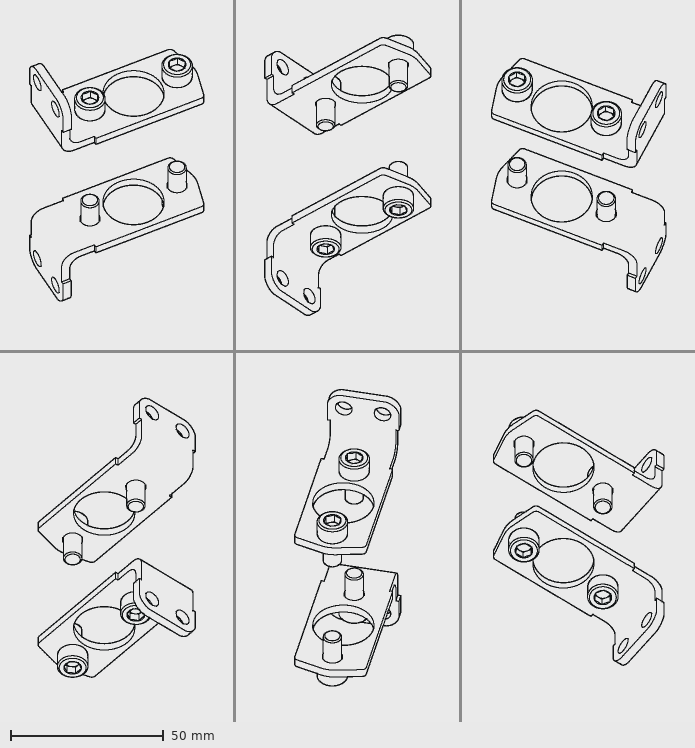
import cadquery as cq
import math


width = 24.0
neck_width = 22.0
thickness = 3.0
plate_z = 25.0
flange_y = -32.0
bend_inner_radius = 4.0
bend_outer_radius = 4.5
plate_neck_y = -20.0
flange_neck_z = 37.0
flange_end_z = 48.5

apex_y = 23.04
slope_angle = 14.5
apex_radius = 10.0
shoulder_radius = 1.5

bore_diameter = 20.0
screw_hole_diameter = 6.6
screw_ys = (-16.0, 16.0)
flange_hole_diameter = 5.5
flange_hole_spacing = 13.0
flange_hole_inset = 5.5
flange_hole_z = flange_end_z - flange_hole_inset

corner_cut = 4.25
corner_radius = math.hypot(
    width / 2 - flange_hole_spacing / 2,
    flange_end_z - corner_cut - flange_hole_z,
)

shank_diameter = 6.0
shank_length = 12.0
shank_chamfer = 0.5
head_diameter = 10.0
head_height = 6.0
head_chamfer = 0.6
head_base_chamfer = 0.2
socket_width = 5.0
socket_depth = 3.0
socket_corner_radius = socket_width / 2 / math.cos(math.pi / 6)
socket_cone_angle = 30.0
hexagon_turn = 30.0

plate_top_z = plate_z + thickness


def angled_profile():
    """Bent strip, as wide as the full bracket, with both bend faces rounded."""
    apex_drop = apex_radius * (1 / math.cos(math.radians(slope_angle)) - 1)
    plate_end_y = apex_y - apex_drop
    inner_y = flange_y + thickness
    return (
        cq.Workplane("YZ")
        .moveTo(plate_end_y, plate_z)
        .lineTo(flange_y + bend_outer_radius, plate_z)
        .radiusArc((flange_y, plate_z + bend_outer_radius), bend_outer_radius)
        .lineTo(flange_y, flange_end_z)
        .lineTo(inner_y, flange_end_z)
        .lineTo(inner_y, plate_top_z + bend_inner_radius)
        .radiusArc((inner_y + bend_inner_radius, plate_top_z), -bend_inner_radius)
        .lineTo(plate_end_y, plate_top_z)
        .close()
        .extrude(width / 2, both=True)
    )


def plate_outline():
    """Upright prism with the pointed, rounded end of the plate."""
    shoulder_y = apex_y - width / 2 * math.tan(math.radians(slope_angle))
    prism = (
        cq.Workplane("XY", origin=(0, 0, plate_z))
        .moveTo(-width / 2, flange_y)
        .lineTo(width / 2, flange_y)
        .lineTo(width / 2, shoulder_y)
        .lineTo(0, apex_y)
        .lineTo(-width / 2, shoulder_y)
        .close()
        .extrude(flange_end_z - plate_z)
    )
    prism = prism.edges("|Z and (not <Y) and (not >Y)").fillet(shoulder_radius)
    return prism.edges("|Z and >Y").fillet(apex_radius)


def flange_outline():
    """Prism along Y with the two rounded corners of the flange end."""
    half = width / 2
    return (
        cq.Workplane("XZ", origin=(0, apex_y, 0))
        .moveTo(-half, plate_z)
        .lineTo(half, plate_z)
        .lineTo(half, flange_end_z - corner_cut)
        .radiusArc((half - corner_cut, flange_end_z), -corner_radius)
        .lineTo(corner_cut - half, flange_end_z)
        .radiusArc((-half, flange_end_z - corner_cut), -corner_radius)
        .close()
        .extrude(apex_y - flange_y)
    )


def neck_notches():
    """Blocks that trim both sides of the bend down to the neck width."""
    depth = (width - neck_width) / 2
    return (
        cq.Workplane("XY", origin=(0, flange_y, plate_z))
        .pushPoints([(side * (width - depth) / 2, 0) for side in (-1, 1)])
        .box(depth, 2 * (plate_neck_y - flange_y), 2 * (flange_neck_z - plate_z))
    )


def make_bracket():
    """Bent bracket with its bore, two screw holes and two flange holes."""
    bracket = angled_profile().intersect(plate_outline()).intersect(flange_outline())
    bracket = bracket.cut(neck_notches())
    plate_holes = (
        cq.Workplane("XY", origin=(0, 0, plate_z))
        .circle(bore_diameter / 2)
        .extrude(thickness)
        .pushPoints([(0, y) for y in screw_ys])
        .circle(screw_hole_diameter / 2)
        .extrude(thickness)
    )
    flange_holes = (
        cq.Workplane("XZ", origin=(0, flange_y + thickness, flange_hole_z))
        .pushPoints([(side * flange_hole_spacing / 2, 0) for side in (-1, 1)])
        .circle(flange_hole_diameter / 2)
        .extrude(thickness)
    )
    return bracket.cut(plate_holes).cut(flange_holes)


def socket_cone(y, base_z, radius):
    """Cone on a screw axis, pointing down from its base."""
    height = radius * math.tan(math.radians(socket_cone_angle))
    down = cq.Vector(0, 0, -1)
    return cq.Workplane(cq.Solid.makeCone(radius, 0, height, cq.Vector(0, y, base_z), down))


def make_screw(y):
    """Cap screw with its head resting on the plate and its tip towards Z = 0."""
    head = (
        cq.Workplane("XY", origin=(0, y, plate_top_z))
        .circle(head_diameter / 2)
        .extrude(head_height)
        .faces(">Z").edges()
        .chamfer(head_chamfer)
        .faces("<Z").edges()
        .chamfer(head_base_chamfer)
    )
    shank = (
        cq.Workplane("XY", origin=(0, y, plate_top_z))
        .circle(shank_diameter / 2)
        .extrude(-shank_length)
        .faces("<Z").edges()
        .chamfer(shank_chamfer)
    )
    socket_floor_z = plate_top_z + head_height - socket_depth
    socket = (
        cq.Workplane("XY", origin=(0, y, socket_floor_z))
        .transformed(rotate=(0, 0, hexagon_turn))
        .polygon(6, 2 * socket_corner_radius)
        .extrude(socket_depth)
    )
    mouth = socket_cone(y, plate_top_z + head_height, socket_corner_radius)
    floor = socket_cone(y, socket_floor_z, socket_width / 2)
    return head.union(shank).cut(socket).cut(floor).cut(mouth)


upper_bodies = [make_bracket()] + [make_screw(y) for y in screw_ys]
lower_bodies = [body.mirror("XY") for body in upper_bodies]

result = cq.Compound.makeCompound([body.val() for body in upper_bodies + lower_bodies])